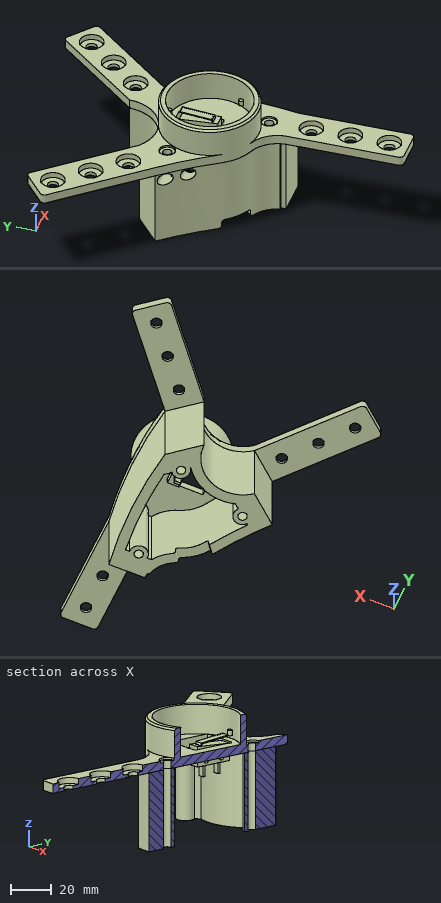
import cadquery as cq
import math

HOUSING_HEIGHT = 40.0
PLATE_THICKNESS = 5.0
COLLAR_HEIGHT = 15.0
PLATE_TOP = HOUSING_HEIGHT + PLATE_THICKNESS

COLLAR_BORE_DIAMETER = 43.33
COLLAR_WALL = 3.5
COLLAR_RADIUS = COLLAR_BORE_DIAMETER / 2 + COLLAR_WALL
COLLAR_CHAMFER = 1.0

LUG_DIAMETER = 2.5
LUG_ORBIT = 20.85
LUG_BOTTOM = 1.8
LUG_HEIGHT = 2.7
LUG_ANGLES = (90, 210, 330)

LEFT_ARM, RIGHT_ARM, REAR_ARM = 130, 50, 270
ARM_ANGLES = (LEFT_ARM, RIGHT_ARM, REAR_ARM)
ARM_WIDTH = 20.0
ARM_OFFSET = 12.2
ARM_START = 38.3
ARM_LENGTH = 60.0
ARM_CORNER_RADIUS = 2.3
ARM_INNER_EDGE = ARM_OFFSET - ARM_WIDTH / 2
ARM_OUTER_EDGE = ARM_OFFSET + ARM_WIDTH / 2
ARM_HOLE_COUNT = 3
ARM_HOLE_PITCH = 20.0
ARM_HOLE_DIAMETER = 5.5
ARM_BORE_DIAMETER = 12.0
ARM_BORE_DEPTH = 3.0

FLUSH_START_ANGLE = 211
FLUSH_END_ANGLE = 250
TOP_COVE_ANGLE = 107
HUB_RIGHT = COLLAR_RADIUS + 0.1

SCREW_POINTS = ((12.0, 25.6), (-26.3, 13.6), (11.3, -26.9))
SCREW_HOLE_DIAMETER = 4.5
SCREW_BORE_DIAMETER = 8.0
SCREW_BORE_DEPTH = 1.0

WINDOW_LEFT, WINDOW_RIGHT = -13.6, 6.1
WINDOW_BACK, WINDOW_FRONT = 17.7, -5.6
WINDOW_CORNER_RADIUS = 1.0

HOUSING_WALL = 5.5
POST_START = 27.3
POST_DIAMETER = 9.5
STEP_X = 2.8
STEP_Y = -35.5
ACCESS_HOLE_DIAMETER = 6.5
ACCESS_HOLE_HEIGHT = 36.4
NOTCH_ANGLE = (FLUSH_START_ANGLE + FLUSH_END_ANGLE) / 2
NOTCH_WIDTH = 16.8
NOTCH_HEIGHT = 5.0
NOTCH_RADIUS = 1.75
NOTCH_REACH = 40.0

SWITCH_LENGTH = 19.8
SWITCH_WIDTH = 6.2
SWITCH_CENTER_X = WINDOW_RIGHT - SWITCH_WIDTH / 2
SWITCH_CENTER_Y = 5.8
SWITCH_BACK = SWITCH_CENTER_Y + SWITCH_LENGTH / 2
SWITCH_FRONT = SWITCH_CENTER_Y - SWITCH_LENGTH / 2
SWITCH_BOTTOM = 36.1
SWITCH_BACK_TOP = PLATE_TOP
SWITCH_FRONT_TOP = PLATE_TOP + 1.5
SWITCH_HOLE_DIAMETER = 2.5
SWITCH_HOLE_HEIGHT = 38.5
SWITCH_HOLE_CENTER_Y = 6.2
SWITCH_HOLE_PITCH = 9.5
SWITCH_HOLE_YS = [SWITCH_HOLE_CENTER_Y + side * SWITCH_HOLE_PITCH / 2 for side in (-1, 1)]
LEVER_WIDTH = 4.2
LEVER_THICKNESS = 0.5
LEVER_BEND = -0.9
LEVER_FOOT = -1.9
LEVER_BACK_TOP = PLATE_TOP + 3.9
LEVER_BEND_TOP = PLATE_TOP + 2.6
LEG_PITCH = 9.3
LEG_THICKNESS = 1.4
LEG_WIDTH = 3.2
LEG_LENGTH = 6.0
LEG_YS = [SWITCH_CENTER_Y + side * LEG_PITCH / 2 for side in (-1, 1)]


def arm_point(angle, along, offset):
    """Point at a distance along an arm direction and offset to the left of it."""
    a = math.radians(angle)
    return (
        along * math.cos(a) - offset * math.sin(a),
        along * math.sin(a) + offset * math.cos(a),
    )


def polar(radius, angle):
    """Point at a radius and angle about the collar axis."""
    return arm_point(angle, radius, 0)


def cove_middle(corner, angle):
    """Middle of the arc that leaves an arm corner and touches the collar circle at an angle."""
    touch = polar(COLLAR_RADIUS, angle)
    unit = polar(1, angle)
    reach = corner[0] * unit[0] + corner[1] * unit[1] - COLLAR_RADIUS
    chord = math.dist(corner, touch)
    radius = chord**2 / (2 * reach)
    center = polar(COLLAR_RADIUS + radius, angle)
    toward = (
        (corner[0] + touch[0]) / 2 - center[0],
        (corner[1] + touch[1]) / 2 - center[1],
    )
    scale = radius / math.hypot(*toward)
    return (center[0] + toward[0] * scale, center[1] + toward[1] * scale)


def hub_outline():
    """Outline shared by the housing and the middle of the cap."""
    left_outer = arm_point(LEFT_ARM, ARM_START, ARM_OUTER_EDGE)
    left_inner = arm_point(LEFT_ARM, ARM_START, ARM_INNER_EDGE)
    right_outer = arm_point(RIGHT_ARM, ARM_START, ARM_OUTER_EDGE)
    right_inner = arm_point(RIGHT_ARM, ARM_START, ARM_INNER_EDGE)
    rear_outer = arm_point(REAR_ARM, ARM_START, ARM_OUTER_EDGE)
    rear_inner = arm_point(REAR_ARM, ARM_START, ARM_INNER_EDGE)
    flush_middle = (FLUSH_START_ANGLE + FLUSH_END_ANGLE) / 2
    return (
        cq.Workplane("XY")
        .moveTo(*left_outer)
        .threePointArc(cove_middle(left_outer, FLUSH_START_ANGLE), polar(COLLAR_RADIUS, FLUSH_START_ANGLE))
        .threePointArc(polar(COLLAR_RADIUS, flush_middle), polar(COLLAR_RADIUS, FLUSH_END_ANGLE))
        .threePointArc(cove_middle(rear_inner, FLUSH_END_ANGLE), rear_inner)
        .lineTo(*rear_outer)
        .threePointArc((HUB_RIGHT, 0), right_inner)
        .lineTo(*right_outer)
        .threePointArc(polar(COLLAR_RADIUS, TOP_COVE_ANGLE), left_inner)
        .close()
    )


def arm():
    """Arm along +X with its row of counterbored holes, standing on Z = 0."""
    first_hole = ARM_START + ARM_LENGTH / 2 - ARM_HOLE_PITCH
    hole_points = [(first_hole + i * ARM_HOLE_PITCH, ARM_OFFSET) for i in range(ARM_HOLE_COUNT)]
    return (
        cq.Workplane("XY")
        .center(ARM_START + ARM_LENGTH / 2, ARM_OFFSET)
        .rect(ARM_LENGTH, ARM_WIDTH)
        .extrude(PLATE_THICKNESS)
        .edges("|Z and >X")
        .fillet(ARM_CORNER_RADIUS)
        .faces(">Z")
        .workplane(origin=(0, 0, 0))
        .pushPoints(hole_points)
        .cboreHole(ARM_HOLE_DIAMETER, ARM_BORE_DIAMETER, ARM_BORE_DEPTH)
    )


def window(height):
    """Prism of the opening that the switch stands in."""
    return (
        cq.Workplane("XY")
        .center((WINDOW_LEFT + WINDOW_RIGHT) / 2, (WINDOW_BACK + WINDOW_FRONT) / 2)
        .rect(WINDOW_RIGHT - WINDOW_LEFT, WINDOW_BACK - WINDOW_FRONT)
        .extrude(height)
        .edges("|Z and >X")
        .fillet(WINDOW_CORNER_RADIUS)
    )


def cylinders(points, diameter, bottom, height):
    """Upright cylinders standing at the given points."""
    return (
        cq.Workplane("XY")
        .workplane(offset=bottom)
        .pushPoints(points)
        .circle(diameter / 2)
        .extrude(height)
    )


def make_cap():
    """Three-armed plate with the open collar on its middle."""
    collar = (
        cq.Workplane("XY")
        .circle(COLLAR_RADIUS)
        .extrude(PLATE_THICKNESS + COLLAR_HEIGHT)
        .faces(">Z")
        .chamfer(COLLAR_CHAMFER)
    )
    plate = hub_outline().extrude(PLATE_THICKNESS)
    for angle in ARM_ANGLES:
        plate = plate.union(arm().rotate((0, 0, 0), (0, 0, 1), angle))
    screw_bores = cylinders(
        SCREW_POINTS, SCREW_BORE_DIAMETER, PLATE_THICKNESS - SCREW_BORE_DEPTH, SCREW_BORE_DEPTH
    )
    collar_bore = cylinders([(0, 0)], COLLAR_BORE_DIAMETER, PLATE_THICKNESS, COLLAR_HEIGHT)
    lugs = cylinders(
        [polar(LUG_ORBIT, angle) for angle in LUG_ANGLES],
        LUG_DIAMETER,
        PLATE_THICKNESS + LUG_BOTTOM,
        LUG_HEIGHT,
    )
    return (
        plate.cut(screw_bores)
        .cut(cylinders([(0, 0)], 2 * COLLAR_RADIUS, 0, PLATE_THICKNESS))
        .union(collar)
        .cut(collar_bore)
        .cut(cylinders(SCREW_POINTS, SCREW_HOLE_DIAMETER, 0, PLATE_THICKNESS))
        .cut(window(PLATE_THICKNESS))
        .union(lugs)
        .translate((0, 0, HOUSING_HEIGHT))
    )


def notch():
    """Cable exit: rounded at its ceiling and flared at the housing's underside."""
    half = NOTCH_WIDTH / 2
    r = NOTCH_RADIUS
    return (
        cq.Workplane("YZ")
        .moveTo(-half - r, 0)
        .radiusArc((-half, r), -r)
        .lineTo(-half, NOTCH_HEIGHT - r)
        .radiusArc((-half + r, NOTCH_HEIGHT), r)
        .lineTo(half - r, NOTCH_HEIGHT)
        .radiusArc((half, NOTCH_HEIGHT - r), r)
        .lineTo(half, r)
        .radiusArc((half + r, 0), -r)
        .close()
        .extrude(NOTCH_REACH)
        .rotate((0, 0, 0), (0, 0, 1), NOTCH_ANGLE)
    )


def make_housing():
    """Body under the cap, hollow except for the screw posts at its three arms."""
    cavity = hub_outline().offset2D(-HOUSING_WALL).extrude(HOUSING_HEIGHT)
    arm_block = (
        cq.Workplane("XY")
        .moveTo(POST_START, ARM_OFFSET - ARM_WIDTH)
        .rect(ARM_START - POST_START, 2 * ARM_WIDTH, centered=False)
        .extrude(HOUSING_HEIGHT)
    )
    cavity = cavity.cut(cylinders(SCREW_POINTS, POST_DIAMETER, 0, HOUSING_HEIGHT))
    for angle in ARM_ANGLES:
        cavity = cavity.cut(arm_block.rotate((0, 0, 0), (0, 0, 1), angle))
    access_holes = (
        cq.Workplane("YZ")
        .pushPoints([(y, ACCESS_HOLE_HEIGHT) for y in SWITCH_HOLE_YS])
        .circle(ACCESS_HOLE_DIAMETER / 2)
        .extrude(-(ARM_START + ARM_OUTER_EDGE))
    )
    corner_step = (
        cq.Workplane("XY")
        .moveTo(STEP_X, STEP_Y)
        .rect(-ARM_WIDTH, -ARM_WIDTH, centered=False)
        .extrude(HOUSING_HEIGHT)
    )
    return (
        hub_outline()
        .extrude(HOUSING_HEIGHT)
        .cut(cavity)
        .cut(cylinders(SCREW_POINTS, SCREW_HOLE_DIAMETER, 0, HOUSING_HEIGHT))
        .cut(access_holes)
        .cut(corner_step)
        .cut(notch())
    )


def side_profile(points, width):
    """Prism of a Y-Z outline, centred across the switch."""
    return (
        cq.Workplane("YZ")
        .workplane(offset=SWITCH_CENTER_X)
        .polyline(points)
        .close()
        .extrude(width / 2, both=True)
    )


def make_switch():
    """Lever switch standing in the window against its right side."""
    body = side_profile(
        [
            (SWITCH_FRONT, SWITCH_BOTTOM),
            (SWITCH_BACK, SWITCH_BOTTOM),
            (SWITCH_BACK, SWITCH_BACK_TOP),
            (SWITCH_FRONT, SWITCH_FRONT_TOP),
        ],
        SWITCH_WIDTH,
    )
    lever = side_profile(
        [
            (LEVER_FOOT, SWITCH_BACK_TOP),
            (LEVER_BEND, LEVER_BEND_TOP),
            (SWITCH_BACK, LEVER_BACK_TOP),
            (SWITCH_BACK, LEVER_BACK_TOP - LEVER_THICKNESS),
            (LEVER_BEND + LEVER_THICKNESS, LEVER_BEND_TOP - LEVER_THICKNESS),
            (LEVER_FOOT + LEVER_THICKNESS, SWITCH_BACK_TOP),
        ],
        LEVER_WIDTH,
    )
    legs = (
        cq.Workplane("XY")
        .workplane(offset=SWITCH_BOTTOM)
        .pushPoints([(SWITCH_CENTER_X, y) for y in LEG_YS])
        .rect(LEG_WIDTH, LEG_THICKNESS)
        .extrude(-LEG_LENGTH)
    )
    holes = (
        cq.Workplane("YZ")
        .workplane(offset=SWITCH_CENTER_X)
        .pushPoints([(y, SWITCH_HOLE_HEIGHT) for y in SWITCH_HOLE_YS])
        .circle(SWITCH_HOLE_DIAMETER / 2)
        .extrude(SWITCH_WIDTH, both=True)
    )
    return body.union(lever).union(legs).cut(holes)


cap = make_cap()
housing = make_housing()
switch = make_switch()
result = cq.Compound.makeCompound([cap.val(), housing.val(), switch.val()])